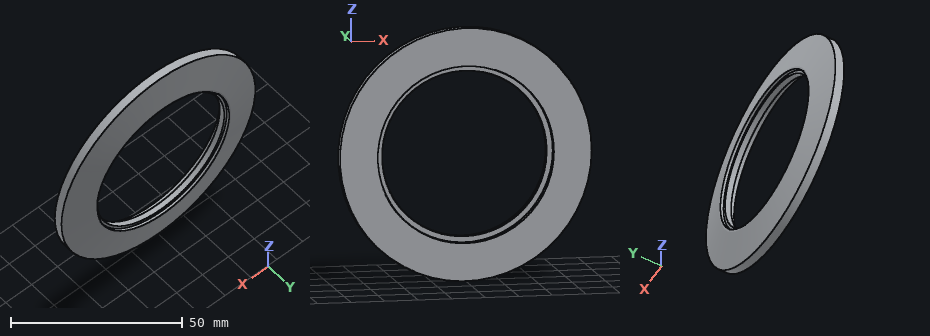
import cadquery as cq

outer_diameter = 75.0
bore_diameter = 49.05
recess_diameter = 52.5
socket_diameter = 51.0
back_face_diameter = 52.5
thickness = 5.1
rim_width = 3.0
recess_depth = 2.0
socket_depth = 1.05

outer_radius = outer_diameter / 2
bore_radius = bore_diameter / 2
recess_radius = recess_diameter / 2
socket_radius = socket_diameter / 2
back_face_radius = back_face_diameter / 2
socket_floor = thickness - socket_depth

section = [
    (recess_radius, 0),
    (outer_radius, 0),
    (outer_radius, rim_width),
    (back_face_radius, thickness),
    (socket_radius, thickness),
    (socket_radius, socket_floor),
    (bore_radius, socket_floor),
    (bore_radius, recess_depth),
    (recess_radius, recess_depth),
]

axis_start = (0, 0, 0)
axis_end = (0, 1, 0)
result = cq.Workplane("XY").polyline(section).close().revolve(360, axis_start, axis_end)